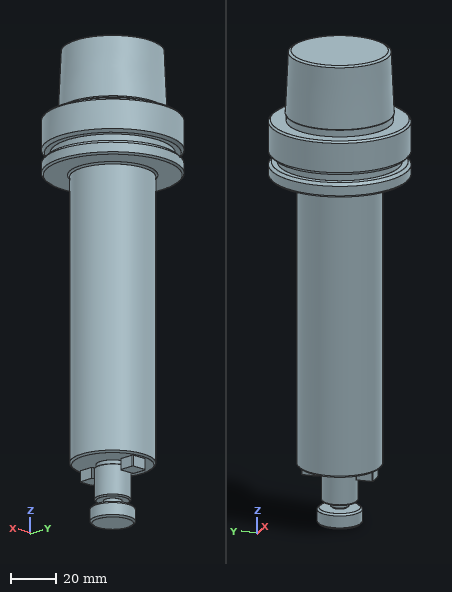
import cadquery as cq

total_length = 219.0
taper_end = 29.0
flange_top = 32.0
groove_top = 46.5
groove_bottom = 52.8
flange_bottom = 58.0
body_end = 192.0
key_end = 197.0
pilot_end = 208.6
head_top = 211.7

flange_radius = 31.5
groove_radius = 27.5
taper_top_radius = 22.8
taper_end_radius = 24.0
taper_neck_radius = 23.6
face_relief_radius = 26.5
body_radius = 19.0
pilot_radius = 8.0
pilot_neck_radius = 7.5
stem_radius = 4.2
stem_foot_radius = 3.0
head_radius = 10.0

top_chamfer_width = 1.3
top_chamfer_height = 0.7
face_relief_depth = 0.5
neck_step_length = 0.5
flange_chamfer = 0.9
groove_flank = 1.3
body_chamfer = 0.9
pilot_neck_length = 2.0
pilot_chamfer = 0.7
head_chamfer = 0.9
stem_foot_length = 0.9

key_width = 8.0
key_inner = 8.8
key_outer = 16.6
key_chamfer = 0.5


def make_turned_body():
    """Revolve the complete half profile, from the top face down to the head."""
    outline = [
        (0, 0),
        (taper_top_radius - top_chamfer_width, 0),
        (taper_top_radius, top_chamfer_height),
        (taper_end_radius, taper_end),
        (taper_neck_radius, taper_end + neck_step_length),
        (taper_neck_radius, flange_top + face_relief_depth),
        (face_relief_radius, flange_top),
        (flange_radius - flange_chamfer, flange_top),
        (flange_radius, flange_top + flange_chamfer),
        (flange_radius, groove_top),
        (flange_radius - groove_flank, groove_top + groove_flank),
        (groove_radius, groove_top + groove_flank),
        (groove_radius, groove_bottom - groove_flank),
        (flange_radius - groove_flank, groove_bottom - groove_flank),
        (flange_radius, groove_bottom),
        (flange_radius, flange_bottom - flange_chamfer),
        (flange_radius - flange_chamfer, flange_bottom),
        (body_radius + body_chamfer, flange_bottom),
        (body_radius, flange_bottom + body_chamfer),
        (body_radius, body_end - body_chamfer),
        (body_radius - body_chamfer, body_end),
        (pilot_neck_radius, body_end),
        (pilot_neck_radius, body_end + pilot_neck_length),
        (pilot_radius, body_end + pilot_neck_length),
        (pilot_radius, pilot_end - pilot_chamfer),
        (pilot_radius - pilot_chamfer, pilot_end),
        (stem_radius, pilot_end),
        (stem_radius, head_top - stem_foot_length),
        (stem_foot_radius, head_top),
        (head_radius - head_chamfer, head_top),
        (head_radius, head_top + head_chamfer),
        (head_radius, total_length - head_chamfer),
        (head_radius - head_chamfer, total_length),
        (0, total_length),
    ]
    points = [(radius, -depth) for radius, depth in outline]
    return cq.Workplane("XZ").polyline(points).close().revolve(360, (0, 0), (0, 1))


def make_key(side):
    """Driving key on the +Y (side = 1) or -Y (side = -1) half of the end face."""
    key_root = body_end - body_chamfer
    return (
        cq.Workplane("XY")
        .box(key_width, key_outer - key_inner, key_end - key_root)
        .edges("|Z")
        .chamfer(key_chamfer)
        .translate((0, side * (key_inner + key_outer) / 2, -(key_root + key_end) / 2))
    )


result = make_turned_body()
for side in (1, -1):
    result = result.union(make_key(side))